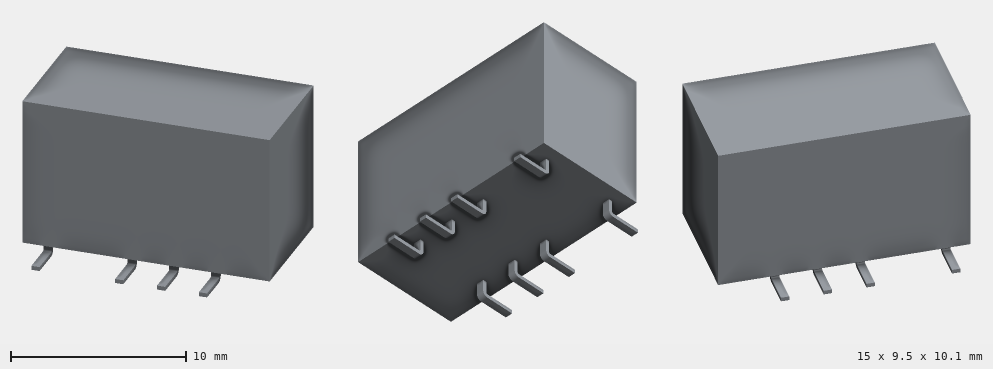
import cadquery as cq

case_length = 15.0
case_width = 7.5
case_height = 9.0
standoff = 1.12

pitch = 2.54
lead_grid_positions = (-2.5, -0.5, 0.5, 1.5)
row_spacing = 2 * pitch
foot_span = 9.5
lead_width = 0.5
lead_thickness = 0.25
bend_inner_radius = 0.1
bend_outer_radius = bend_inner_radius + lead_thickness


def make_case():
    """Solid block standing on the tops of the leads."""
    block = cq.Workplane("XY").box(case_length, case_width, case_height, centered=(True, True, False))
    return block.translate((0, 0, standoff))


def make_lead(x_center):
    """Lead of the +Y row: a vertical leg under the case, bent outward into a flat foot."""
    leg_inner_y = (row_spacing - lead_thickness) / 2
    leg_outer_y = leg_inner_y + lead_thickness
    foot_tip_y = foot_span / 2
    bend_center_y = leg_outer_y + bend_inner_radius
    bend_center_z = bend_outer_radius

    return (
        cq.Workplane("YZ", origin=(x_center, 0, 0))
        .moveTo(leg_inner_y, standoff)
        .lineTo(leg_inner_y, bend_center_z)
        .radiusArc((bend_center_y, 0), -bend_outer_radius)
        .lineTo(foot_tip_y, 0)
        .lineTo(foot_tip_y, lead_thickness)
        .lineTo(bend_center_y, lead_thickness)
        .radiusArc((leg_outer_y, bend_center_z), bend_inner_radius)
        .lineTo(leg_outer_y, standoff)
        .close()
        .extrude(lead_width / 2, both=True)
    )


case = make_case()

leads = []
for grid_position in lead_grid_positions:
    lead = make_lead(grid_position * pitch)
    leads.append(lead.val())
    leads.append(lead.mirror("XZ").val())

result = cq.Compound.makeCompound([case.val(), *leads])